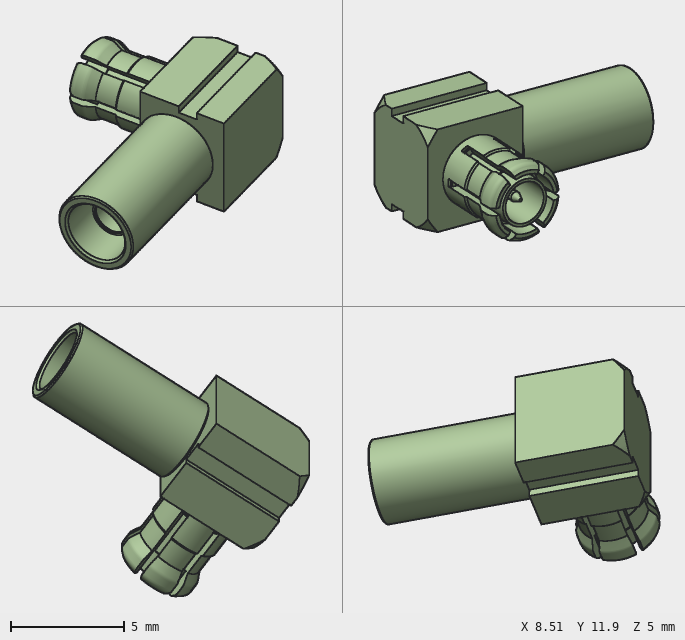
import cadquery as cq
import math


block_start = 4.18
block_length = 4.33
block_width = 5.0
block_half = block_width / 2
back_chamfer_radius = 2.78
notch_start = 6.18
notch_width = 0.93
notch_depth = 0.36

tip_face_radius = 1.62
tip_chamfer = 0.12
bulge_radius = 1.87
bulge_round_end = 0.37
bulge_flat_end = 0.74
bulge_back_start = 0.89
bulge_back_radius = 1.83
neck_start = 1.33
neck_radius = 1.62
sleeve_radius = 1.7
sleeve_start = 2.45
barrel_bore_radius = 1.43
barrel_bore_depth = 1.3
slot_count = 6
slot_width = 0.36
slot_floor_radius = 1.27
slot_deep_end = 3.62
slot_end = 3.74
slot_reach = bulge_radius + 0.12
slot_step_radius = 1.57

tube_tip = 0.17
tube_tip_radius = 1.14
tube_base_radius = 1.23
tube_bore_radius = 1.0
tube_bore_depth = 2.38
tube_root = block_start

pin_tip = 0.49
pin_tip_radius = 0.07
pin_radius = 0.24
pin_taper_length = 0.42
collar_radius = 0.48
collar_height = 0.12

cable_x = 6.07
post_length = 5.53
post_base_radius = 1.15
post_tip_radius = 0.96
post_bore_radius = 0.82
post_bore_chamfer = 0.05
post_fillet = 0.27
core_radius = 1.62

ferrule_length = 6.9
ferrule_radius = 1.92
ferrule_bore_radius = 1.46
ferrule_chamfer = 0.07
ferrule_mouth_chamfer = 0.11


def turned_along_x(outline):
    """Revolve a closed (x, radius) outline about the plug axis."""
    return outline.close().revolve(360, (0, 0, 0), (1, 0, 0))


def turned_along_cable(outline):
    """Revolve a closed (radius, y) outline about the cable axis."""
    solid = outline.close().revolve(360, (0, 0, 0), (0, 1, 0))
    return solid.translate((cable_x, 0, 0))


def make_block():
    """Block with a turned chamfer round its back face and a notch along its top and bottom."""
    centre_x = block_start + block_length / 2
    block = cq.Workplane("XY").box(block_length, block_width, block_width).translate((centre_x, 0, 0))

    cone_base_radius = back_chamfer_radius + block_width
    envelope = (
        cq.Workplane("XY")
        .moveTo(0, block_half)
        .lineTo(back_chamfer_radius, block_half)
        .lineTo(cone_base_radius, -block_half)
        .lineTo(0, -block_half)
        .close()
        .revolve(360, (0, 0, 0), (0, 1, 0))
        .translate((centre_x, 0, 0))
    )
    block = block.intersect(envelope)

    for side in (1, -1):
        notch = cq.Workplane("XY").box(notch_width, block_width, notch_depth)
        notch_z = side * (block_half - notch_depth / 2)
        block = block.cut(notch.translate((notch_start + notch_width / 2, 0, notch_z)))
    return block


def make_slot(end_x, floor_radius):
    """One slot along the top of the barrel, from its tip to end_x, on a round floor."""
    blank = cq.Workplane("XY").box(end_x, slot_width, slot_reach, centered=(False, True, False))
    floor = cq.Workplane("YZ").circle(floor_radius).extrude(end_x)
    return blank.cut(floor)


def make_barrel_slots():
    """Radial slots that split the barrel into fingers, each with a shallower step at its inner end."""
    stepped_slot = make_slot(slot_deep_end, slot_floor_radius).union(make_slot(slot_end, slot_step_radius))
    slots = cq.Workplane("XY")
    for index in range(slot_count):
        angle = 90 + index * 360 / slot_count
        slots = slots.add(stepped_slot.rotate((0, 0, 0), (1, 0, 0), angle))
    return slots.combine()


def bulge_arc_middle(crest_x, edge):
    """Middle of the arc that leaves the bulge crest tangentially at crest_x and drops to an edge."""
    run = edge[0] - crest_x
    drop = bulge_radius - edge[1]
    arc_radius = (run**2 + drop**2) / (2 * drop)
    half_angle = math.asin(run / arc_radius) / 2
    return (
        crest_x + arc_radius * math.sin(half_angle),
        bulge_radius - arc_radius * (1 - math.cos(half_angle)),
    )


def make_barrel():
    """Slotted sleeve with a bulged tip, bored out at the tip to clear the contact tube."""
    step_length = sleeve_radius - neck_radius
    front_edge = (tip_chamfer, tip_face_radius + tip_chamfer)
    back_edge = (bulge_back_start, bulge_back_radius)
    barrel = turned_along_x(
        cq.Workplane("XZ")
        .moveTo(0, barrel_bore_radius)
        .lineTo(0, tip_face_radius)
        .lineTo(*front_edge)
        .threePointArc(bulge_arc_middle(bulge_round_end, front_edge), (bulge_round_end, bulge_radius))
        .lineTo(bulge_flat_end, bulge_radius)
        .threePointArc(bulge_arc_middle(bulge_flat_end, back_edge), back_edge)
        .lineTo(neck_start, neck_radius)
        .lineTo(sleeve_start - step_length, neck_radius)
        .lineTo(sleeve_start, sleeve_radius)
        .lineTo(block_start, sleeve_radius)
        .lineTo(block_start, tube_bore_radius)
        .lineTo(barrel_bore_depth, tube_bore_radius)
        .lineTo(barrel_bore_depth, barrel_bore_radius)
    )
    return barrel.cut(make_barrel_slots())


def make_contacts():
    """Tapered tube rooted in the barrel, with the centre pin and its collar on the tube floor."""
    collar_front = tube_bore_depth - collar_height
    return turned_along_x(
        cq.Workplane("XZ")
        .moveTo(pin_tip, 0)
        .lineTo(pin_tip, pin_tip_radius)
        .lineTo(pin_tip + pin_taper_length, pin_radius)
        .lineTo(collar_front, pin_radius)
        .lineTo(collar_front, collar_radius)
        .lineTo(tube_bore_depth, collar_radius)
        .lineTo(tube_bore_depth, tube_bore_radius)
        .lineTo(tube_tip, tube_bore_radius)
        .lineTo(tube_tip, tube_tip_radius)
        .lineTo(barrel_bore_depth, tube_base_radius)
        .lineTo(tube_root, tube_base_radius)
        .lineTo(tube_root, 0)
    )


def make_post():
    """Tapered crimp post that flares into the front face of the block."""
    face_y = -block_half
    diagonal = post_fillet * (1 - math.sqrt(0.5))
    return turned_along_cable(
        cq.Workplane("XY")
        .moveTo(0, face_y)
        .lineTo(post_base_radius + post_fillet, face_y)
        .threePointArc(
            (post_base_radius + diagonal, face_y - diagonal),
            (post_base_radius, face_y - post_fillet),
        )
        .lineTo(post_tip_radius, face_y - post_length)
        .lineTo(0, face_y - post_length)
    )


def make_post_bore():
    """Cable bore that ends on the round core lying along the plug axis."""
    tip_y = -block_half - post_length
    bore = turned_along_cable(
        cq.Workplane("XY")
        .moveTo(0, tip_y)
        .lineTo(post_bore_radius + post_bore_chamfer, tip_y)
        .lineTo(post_bore_radius, tip_y + post_bore_chamfer)
        .lineTo(post_bore_radius, 0)
        .lineTo(0, 0)
    )
    core = cq.Workplane("YZ").circle(core_radius).extrude(block_start + block_length)
    return bore.cut(core)


def make_housing():
    housing = make_block().union(make_barrel()).union(make_contacts()).union(make_post())
    return housing.cut(make_post_bore())


def make_ferrule():
    """Plain tube against the block, chamfered outside at both ends and inside at its mouth."""
    near_y = -block_half
    far_y = near_y - ferrule_length
    return turned_along_cable(
        cq.Workplane("ZY")
        .moveTo(ferrule_bore_radius, near_y)
        .lineTo(ferrule_radius - ferrule_chamfer, near_y)
        .lineTo(ferrule_radius, near_y - ferrule_chamfer)
        .lineTo(ferrule_radius, far_y + ferrule_chamfer)
        .lineTo(ferrule_radius - ferrule_chamfer, far_y)
        .lineTo(ferrule_bore_radius + ferrule_mouth_chamfer, far_y)
        .lineTo(ferrule_bore_radius, far_y + ferrule_mouth_chamfer)
    )


housing = make_housing()
ferrule = make_ferrule()
result = cq.Compound.makeCompound([housing.val(), ferrule.val()])